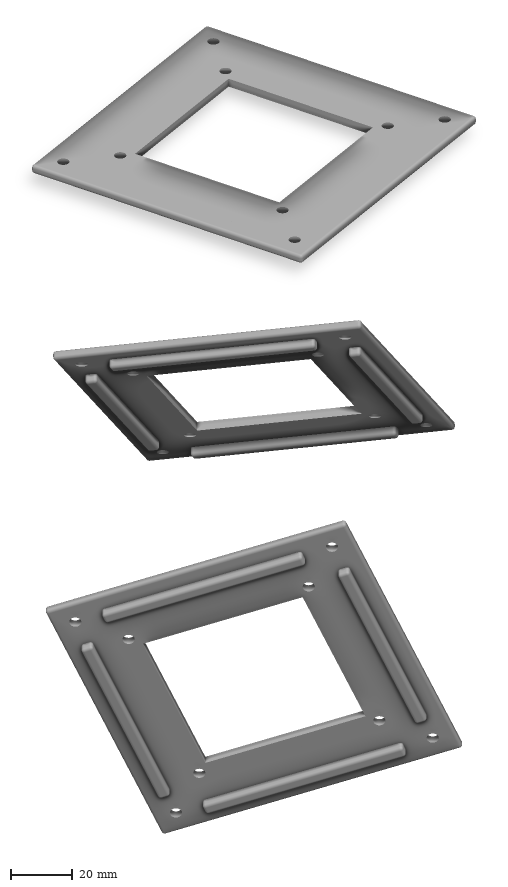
import cadquery as cq

plate_side = 105.0
plate_thickness = 3.0
plate_fillet = 1.0

window_side = 56

hole_diameter = 4.0
outer_hole_spacing = 89.8
inner_hole_spacing = 63

rail_length = 70
rail_width = 4.0
rail_height = 3.0
rail_fillet = 1.0
rail_offset = outer_hole_spacing / 2
rail_count = 4


def make_plate():
    """Square plate with its underside at Z = 0 and every outer edge rounded."""
    blank = cq.Workplane("XY").box(
        plate_side, plate_side, plate_thickness, centered=(True, True, False)
    )
    return blank.edges().fillet(plate_fillet)


def make_rail():
    """Rail on the -Y side, with rounded upright corners and lower rim."""
    bar = (
        cq.Workplane("XY")
        .box(rail_length, rail_width, rail_height, centered=(True, True, False))
        .edges("|Z or <Z")
        .fillet(rail_fillet)
    )
    return bar.translate((0, -rail_offset, -rail_height))


def add_rails(body):
    """Repeat the rail around the Z axis, once for each side of the plate."""
    rail = make_rail()
    for index in range(rail_count):
        angle = index * 360 / rail_count
        body = body.union(rail.rotate((0, 0, 0), (0, 0, 1), angle))
    return body


def cut_window(body):
    """Cut the square window through the plate."""
    window = cq.Workplane("XY").rect(window_side, window_side).extrude(plate_thickness)
    return body.cut(window)


def cut_holes(body, spacing):
    """Cut four through holes at the corners of a square of the given spacing."""
    holes = (
        cq.Workplane("XY")
        .rect(spacing, spacing, forConstruction=True)
        .vertices()
        .circle(hole_diameter / 2)
        .extrude(plate_thickness)
    )
    return body.cut(holes)


result = make_plate()
result = add_rails(result)
result = cut_window(result)
for hole_spacing in (outer_hole_spacing, inner_hole_spacing):
    result = cut_holes(result, hole_spacing)